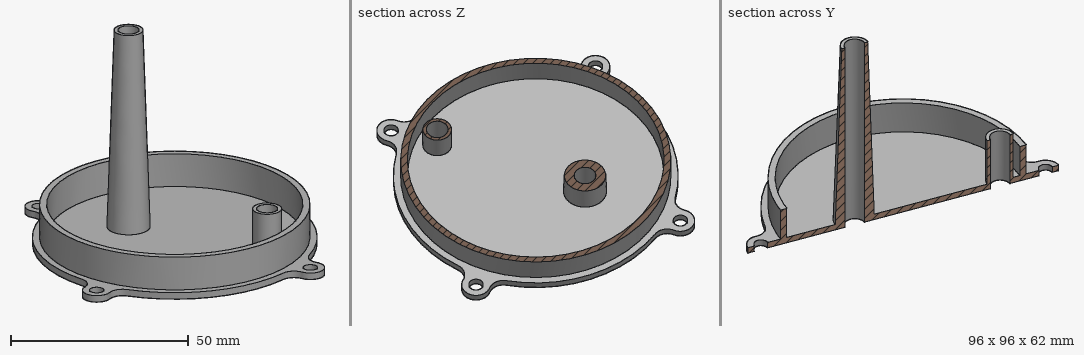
import cadquery as cq
import math

overall_width = 96.0
overall_height = 62.0

plate_thickness = 2.0
plate_radius = 40.0
lug_radius = 4.0
lug_hole_diameter = 4.0
lug_fillet_radius = 4.0
lug_count = 4
lug_distance = overall_width / 2 - lug_radius

rim_outer_diameter = 76.0
rim_inner_diameter = 72.0
rim_top = 12.0

bore_diameter = 6.0
tube_diameter = 8.2
short_tube_x = 30.0
short_tube_top = 17.0
tall_tube_x = -15.0
tall_tube_base_diameter = 12.2


def lug(angle):
    """Rounded lug along +X, blended into the plate edge, turned by angle."""
    blend_center_y = lug_radius + lug_fillet_radius
    blend_center_distance = plate_radius + lug_fillet_radius
    blend_center_x = math.sqrt(blend_center_distance**2 - blend_center_y**2)
    edge_angle = math.asin(blend_center_y / blend_center_distance)
    edge_x = plate_radius * math.cos(edge_angle)
    edge_y = plate_radius * math.sin(edge_angle)
    mid_angle = (math.pi + edge_angle + 1.5 * math.pi) / 2
    mid_x = blend_center_x + lug_fillet_radius * math.cos(mid_angle)
    mid_y = blend_center_y + lug_fillet_radius * math.sin(mid_angle)
    return (
        cq.Workplane("XY")
        .lineTo(edge_x, -edge_y)
        .threePointArc((mid_x, -mid_y), (blend_center_x, -lug_radius))
        .lineTo(lug_distance, -lug_radius)
        .threePointArc((overall_width / 2, 0), (lug_distance, lug_radius))
        .lineTo(blend_center_x, lug_radius)
        .threePointArc((mid_x, mid_y), (edge_x, edge_y))
        .close()
        .extrude(plate_thickness)
        .rotate((0, 0, 0), (0, 0, 1), angle)
    )


def base_plate():
    plate = cq.Workplane("XY").circle(plate_radius).extrude(plate_thickness)
    for index in range(lug_count):
        plate = plate.union(lug(index * 360 / lug_count))
    lug_holes = (
        cq.Workplane("XY")
        .polarArray(lug_distance, 0, 360, lug_count)
        .circle(lug_hole_diameter / 2)
        .extrude(plate_thickness)
    )
    return plate.cut(lug_holes)


def rim():
    return (
        cq.Workplane("XY")
        .workplane(offset=plate_thickness)
        .circle(rim_outer_diameter / 2)
        .circle(rim_inner_diameter / 2)
        .extrude(rim_top - plate_thickness)
    )


def tube(x, base_diameter, top):
    """Solid tube body from the plate surface up, tapering to tube_diameter."""
    return (
        cq.Workplane("XY", origin=(x, 0, plate_thickness))
        .circle(base_diameter / 2)
        .workplane(offset=top - plate_thickness)
        .circle(tube_diameter / 2)
        .loft()
    )


def bores():
    return (
        cq.Workplane("XY")
        .pushPoints([(tall_tube_x, 0), (short_tube_x, 0)])
        .circle(bore_diameter / 2)
        .extrude(overall_height)
    )


result = (
    base_plate()
    .union(rim())
    .union(tube(tall_tube_x, tall_tube_base_diameter, overall_height))
    .union(tube(short_tube_x, tube_diameter, short_tube_top))
    .cut(bores())
)